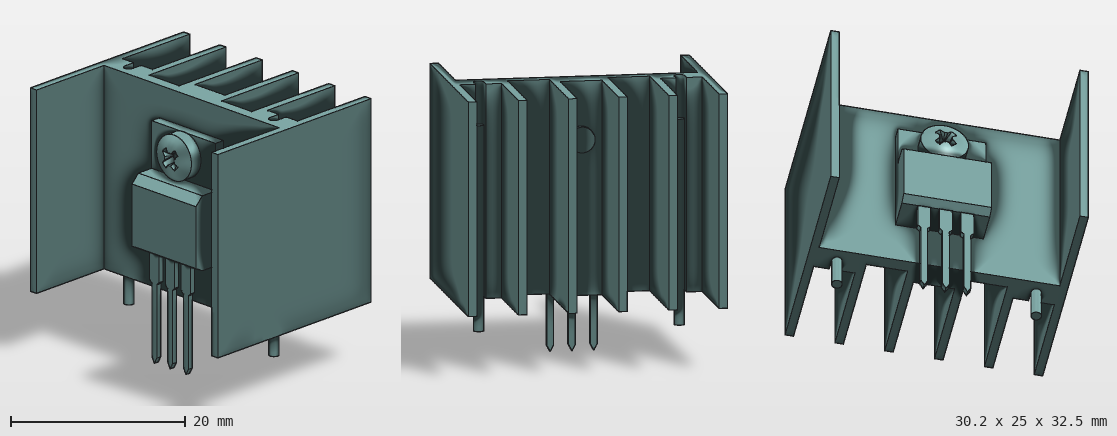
import cadquery as cq
import math


sink_width = 30.2
sink_height = 25.0
fin_thickness = 1.0
fin_count = 6
fin_pitch = (sink_width - fin_thickness) / (fin_count - 1)
fin_reach = 14.0
wing_reach = 11.0
web_thickness = 1.45
pad_thickness = 3.0

pin_diameter = 1.2
pin_length_below = 4.0
pin_insertion = 20.0
pin_x = 2 * fin_pitch
pin_y = 1.6

tab_width = 10.3
tab_thickness = 1.3
package_top = 21.0
package_bottom = 5.95
body_top = 15.15
package_depth = 4.5
top_chamfer = 1.05
bottom_chamfer_height = 0.5
bottom_chamfer_depth = 1.05

lead_count = 3
lead_pitch = 2.54
lead_thickness = 0.65
lead_front = -3.5
lead_wide = 1.5
lead_narrow = 0.8
shoulder_top = 2.6
shoulder_bottom = 2.25
lead_tip = -7.51
lead_point_length = 0.75

screw_diameter = 3.0
screw_end = 3.8
head_diameter = 5.6
screw_z = 18.25
rim_height = 1.55
head_height = 2.4

recess_reach = 1.52
arm_width = 0.75
recess_depth = 1.3
socket_mouth_radius = 0.78
socket_floor_radius = 0.5
socket_point_depth = 0.25


def block(x_min, x_max, y_min, y_max, z_min, z_max):
    """Box given by its limits along each axis."""
    return (
        cq.Workplane("XY")
        .box(x_max - x_min, y_max - y_min, z_max - z_min, centered=False)
        .translate((x_min, y_min, z_min))
    )


def make_heatsink():
    half = sink_width / 2
    sink = block(-half, half, 0, web_thickness, 0, sink_height)
    for i in range(fin_count):
        left = -half + i * fin_pitch
        outer = i in (0, fin_count - 1)
        front = -wing_reach if outer else 0
        sink = sink.union(block(left, left + fin_thickness, front, fin_reach, 0, sink_height))
    half_pad = fin_pitch / 2
    for x in (-pin_x, 0, pin_x):
        sink = sink.union(block(x - half_pad, x + half_pad, 0, pad_thickness, 0, sink_height))
    for x in (-pin_x, pin_x):
        groove_radius = pin_diameter / 2
        round_bottom = cq.Workplane("XY").center(x, pin_y).circle(groove_radius).extrude(sink_height)
        mouth = block(x - groove_radius, x + groove_radius, pin_y, pad_thickness, 0, sink_height)
        sink = sink.cut(round_bottom).cut(mouth)
    return sink.cut(make_shank())


def make_pin(x):
    length = pin_insertion + pin_length_below
    return (
        cq.Workplane("XY", origin=(x, pin_y, -pin_length_below))
        .circle(pin_diameter / 2)
        .extrude(length)
    )


def make_lead(x):
    wide = lead_wide / 2
    narrow = lead_narrow / 2
    point_start = lead_tip + lead_point_length
    return (
        cq.Workplane("XZ", origin=(x, lead_front, 0))
        .moveTo(-wide, package_bottom)
        .lineTo(-wide, shoulder_top)
        .lineTo(-narrow, shoulder_bottom)
        .lineTo(-narrow, point_start)
        .lineTo(0, lead_tip)
        .lineTo(narrow, point_start)
        .lineTo(narrow, shoulder_bottom)
        .lineTo(wide, shoulder_top)
        .lineTo(wide, package_bottom)
        .close()
        .extrude(-lead_thickness)
    )


def make_transistor():
    side_profile = [
        (0, package_bottom),
        (0, package_top),
        (-tab_thickness, package_top),
        (-tab_thickness, body_top),
        (-package_depth + top_chamfer, body_top),
        (-package_depth, body_top - top_chamfer),
        (-package_depth, package_bottom + bottom_chamfer_height),
        (-package_depth + bottom_chamfer_depth, package_bottom),
    ]
    transistor = cq.Workplane("YZ").polyline(side_profile).close().extrude(tab_width / 2, both=True)
    for i in range(lead_count):
        x = (i - (lead_count - 1) / 2) * lead_pitch
        transistor = transistor.union(make_lead(x))
    return transistor.cut(make_shank())


def make_shank():
    """Screw shank, from the front of the tab to the screw's end behind the web."""
    return (
        cq.Workplane("XZ", origin=(0, -tab_thickness, screw_z))
        .circle(screw_diameter / 2)
        .extrude(-(tab_thickness + screw_end))
    )


def make_cross_recess():
    """Cross recess cutter: four ramped arms around a tapered socket, sunk along -Z from the head's top."""
    floor = head_height - recess_depth
    socket = (
        cq.Workplane("XZ")
        .moveTo(0, head_height)
        .lineTo(socket_mouth_radius, head_height)
        .lineTo(socket_floor_radius, floor)
        .lineTo(0, floor - socket_point_depth)
        .close()
        .revolve(360, (0, 0), (0, 1))
    )
    ramp = (
        cq.Workplane("XZ")
        .moveTo(0, head_height)
        .lineTo(recess_reach, head_height)
        .lineTo(socket_floor_radius, floor)
        .lineTo(0, floor)
        .close()
        .extrude(arm_width / 2, both=True)
    )
    recess = socket
    for angle in (45, 135, 225, 315):
        recess = recess.union(ramp.rotate((0, 0, 0), (0, 0, 1), angle))
    return recess


def make_screw():
    head_radius = head_diameter / 2
    dome_rise = head_height - rim_height
    dome_radius = (head_radius**2 + dome_rise**2) / (2 * dome_rise)
    middle_angle = math.asin(head_radius / dome_radius) / 2
    dome_middle = (
        dome_radius * math.sin(middle_angle),
        head_height - dome_radius * (1 - math.cos(middle_angle)),
    )
    head = (
        cq.Workplane("XZ")
        .lineTo(head_radius, 0)
        .lineTo(head_radius, rim_height)
        .threePointArc(dome_middle, (0, head_height))
        .close()
        .revolve(360, (0, 0), (0, 1))
        .cut(make_cross_recess())
        .rotate((0, 0, 0), (1, 0, 0), 90)
        .translate((0, -tab_thickness, screw_z))
    )
    return head.union(make_shank())


heatsink = make_heatsink()
pins = [make_pin(x) for x in (-pin_x, pin_x)]
transistor = make_transistor()
screw = make_screw()

bodies = [heatsink, *pins, transistor, screw]
result = cq.Compound.makeCompound([body.solids().val() for body in bodies])